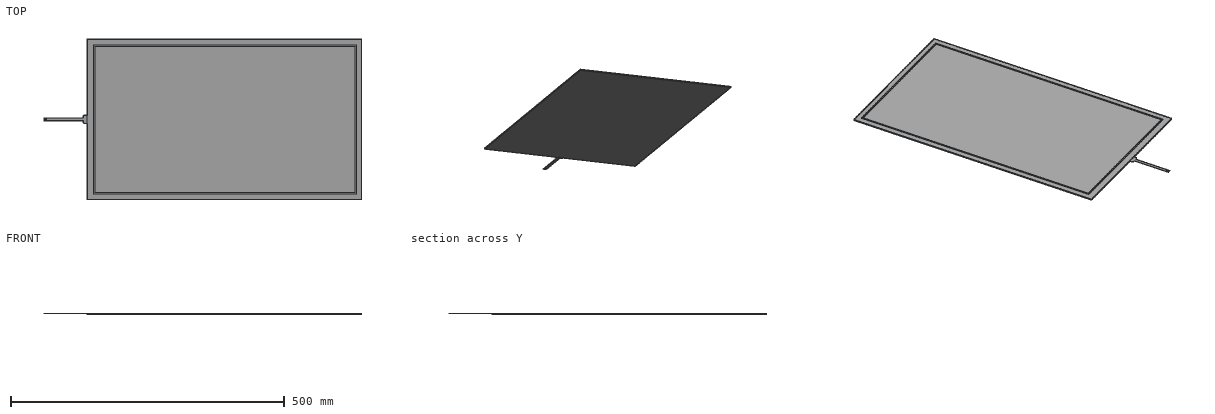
import cadquery as cq

total_length = 580.0
panel_width = 293.2
panel_thickness = 2.1
tail_reach = 79.0
panel_length = total_length - tail_reach

groove_inset_cable_side = 12.0
groove_inset_far_side = 9.7
groove_inset_y = 10.6
groove_width = 2.5
groove_depth = 0.2

tail_thickness = 0.3
tail_drop = 0.2
strip_width = 5.8
root_width = 15.6
root_reach = 7.6
root_corner_radius = 3.5

contact_count = 4
contact_length = 5.0
contact_width = 0.8
contact_pitch = 1.4
contact_thickness = 0.1

tail_end_x = -total_length / 2
panel_left_x = tail_end_x + tail_reach
tail_top_z = panel_thickness - tail_drop


def make_box(x_min, length, width, z_min, height):
    """Box starting at x_min and z_min, centred on Y."""
    box = cq.Workplane("XY").box(length, width, height, centered=(False, True, False))
    return box.translate((x_min, 0, z_min))


def make_panel():
    return make_box(panel_left_x, panel_length, panel_width, 0, panel_thickness)


def make_groove():
    outer_length = panel_length - groove_inset_cable_side - groove_inset_far_side
    outer_width = panel_width - 2 * groove_inset_y
    groove_center_x = panel_left_x + groove_inset_cable_side + outer_length / 2
    return (
        cq.Workplane("XY", origin=(groove_center_x, 0, panel_thickness - groove_depth))
        .rect(outer_length, outer_width)
        .rect(outer_length - 2 * groove_width, outer_width - 2 * groove_width)
        .extrude(groove_depth)
    )


def make_tail():
    tail_bottom_z = tail_top_z - tail_thickness
    strip = make_box(tail_end_x, tail_reach, strip_width, tail_bottom_z, tail_thickness)
    root = make_box(panel_left_x - root_reach, root_reach, root_width, tail_bottom_z, tail_thickness)
    root = root.edges("|Z and <X").fillet(root_corner_radius)
    return strip.union(root)


def make_contacts():
    contacts = cq.Workplane("XY")
    for index in range(contact_count):
        contact_y = (index - (contact_count - 1) / 2) * contact_pitch
        contact = make_box(tail_end_x, contact_length, contact_width, tail_top_z, contact_thickness)
        contacts = contacts.add(contact.translate((0, contact_y, 0)))
    return contacts


panel = make_panel().cut(make_groove())
tail = make_tail().union(make_contacts().combine())
result = panel.union(tail)